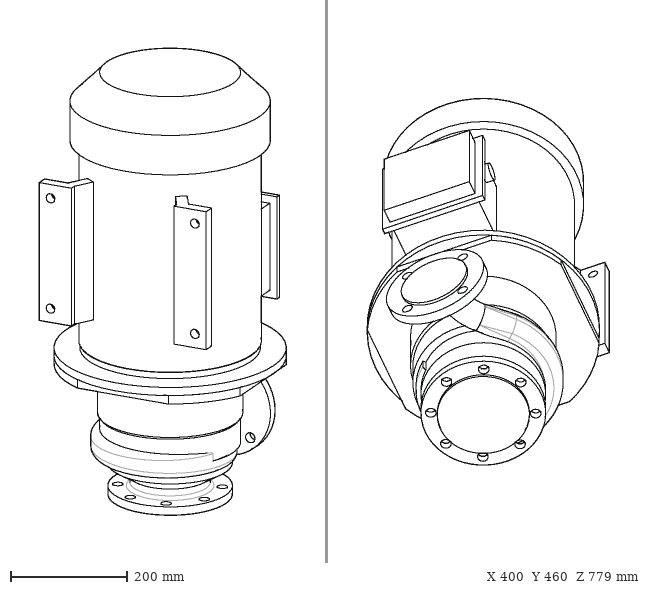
import cadquery as cq
import math

suction_flange_bottom = 5.5
suction_flange_top = 21.0
suction_neck_top = 40.0
cone_top = 63.0
volute_axis_z = 101.0
casing_top = 150.0
lantern_bottom = 155.0
lantern_flange_bottom = 244.0
joint_z = 259.5
motor_flange_top = 274.0
stator_bottom = 286.0
fan_cover_bottom = 654.0
fan_cover_shoulder = 727.0
overall_height = 779.0

motor_flange_radius = 200.0
spigot_radius = 156.0
stator_radius = 157.0
fan_cover_radius = 173.0
fan_cover_top_radius = 121.5

foot_bottom_z = 356.0
foot_height = 253.0
foot_inner_x = 99.0
foot_outer_x = 161.0
foot_face_y = -181.0
foot_thickness = 21.0
web_angle = math.radians(30)
web_thickness = 20.0
web_inner_start_y = -170.0
web_length = 54.5
foot_hole_diameter = 16.0
foot_hole_x = 139.5
foot_hole_pitch = 202.5

box_width = 158.0
box_height = 160.0
box_center_z = 399.0
box_inner_y = 117.0
box_outer_y = 260.0
rim_overhang = 14.0
rim_inner_y = 223.5
rim_thickness = 10.0
gland_radius = 15.5
gland_length = 14.0
gland_y = 192.5
gland_z = 438.0

lantern_flange_flat = 180.0
lantern_radius = 125.5
coupling_neck_radius = 102.0
casing_radius = 121.5
lower_casing_radius = 107.5
suction_neck_radius = 69.0
suction_flare_radius = 6.0
suction_flange_radius = 107.5
suction_face_radius = 79.5
suction_bolt_count = 8
suction_bolt_circle_radius = 90.0
bolt_hole_diameter = 18.0

volute_size = 48.0
volute_radius_at_x = 118.5
volute_growth_per_degree = 11.0 / 90
volute_start_angle = -45
volute_end_angle = 225
volute_step_angle = 15
volute_corner_at_x = 9.7
volute_corner_at_end = 19.0

discharge_pipe_radius = volute_size / 2
discharge_pipe_x = -17.0
discharge_bend_radius = 93.5
discharge_flange_inner_y = 204.0
discharge_flange_outer_y = 222.0
discharge_face_y = 227.5
discharge_flange_radius = 90.0
discharge_face_radius = 61.0
discharge_flare_radius = 8.0
discharge_bolt_count = 4
discharge_bolt_circle_radius = 72.5


def disc(radius, bottom, top):
    """Vertical cylinder on the pump axis."""
    return cq.Workplane("XY", origin=(0, 0, bottom)).circle(radius).extrude(top - bottom)




def motor_shell():
    """Turned body: flange, spigot, stator and fan cover with a conical top."""
    profile = [
        (0, joint_z),
        (motor_flange_radius, joint_z),
        (motor_flange_radius, motor_flange_top),
        (spigot_radius, motor_flange_top),
        (spigot_radius, stator_bottom),
        (stator_radius, stator_bottom),
        (stator_radius, fan_cover_bottom),
        (fan_cover_radius, fan_cover_bottom),
        (fan_cover_radius, fan_cover_shoulder),
        (fan_cover_top_radius, overall_height),
        (0, overall_height),
    ]
    return cq.Workplane("XZ").polyline(profile).close().revolve(360, (0, 0), (0, 1))


def right_foot():
    """Foot plate on the +X side, with a slanted web that runs into the stator."""
    back_y = foot_face_y + foot_thickness
    inward = (-math.sin(web_angle), math.cos(web_angle))
    across = (math.cos(web_angle), math.sin(web_angle))

    inner_start = (foot_inner_x, web_inner_start_y)
    inner_end = (
        inner_start[0] + web_length * inward[0],
        inner_start[1] + web_length * inward[1],
    )
    outer_end = (
        inner_end[0] + web_thickness * across[0],
        inner_end[1] + web_thickness * across[1],
    )
    outer_start = (
        outer_end[0] + (outer_end[1] - back_y) * math.tan(web_angle),
        back_y,
    )
    outline = [
        (foot_inner_x, foot_face_y),
        (foot_outer_x, foot_face_y),
        (foot_outer_x, back_y),
        outer_start,
        outer_end,
        inner_end,
        inner_start,
    ]
    foot = (
        cq.Workplane("XY", origin=(0, 0, foot_bottom_z))
        .polyline(outline)
        .close()
        .extrude(foot_height)
    )
    holes = (
        cq.Workplane("XZ", origin=(foot_hole_x, back_y, foot_bottom_z + foot_height / 2))
        .rarray(8, foot_hole_pitch, 1, 2)
        .circle(foot_hole_diameter / 2)
        .extrude(foot_thickness)
    )
    return foot.cut(holes)


def terminal_box():
    """Box on the +Y side with a rim around its lid and a cable gland on its -X side."""
    box = (
        cq.Workplane("XZ", origin=(0, box_outer_y, box_center_z))
        .rect(box_width, box_height)
        .extrude(box_outer_y - box_inner_y)
    )
    rim = (
        cq.Workplane("XZ", origin=(0, rim_inner_y + rim_thickness, box_center_z))
        .rect(box_width + 2 * rim_overhang, box_height + 2 * rim_overhang)
        .extrude(rim_thickness)
    )
    gland = (
        cq.Workplane("YZ", origin=(-box_width / 2, gland_y, gland_z))
        .circle(gland_radius)
        .extrude(-gland_length)
    )
    return box.union(rim).union(gland)


def make_motor():
    foot = right_foot()
    return motor_shell().union(foot).union(foot.mirror("YZ")).union(terminal_box())




def lantern():
    """Motor stool: a round flange with four flats, a cylinder and a narrower neck."""
    flange = disc(motor_flange_radius, lantern_flange_bottom, joint_z)
    flats = (
        cq.Workplane("XY", origin=(0, 0, lantern_flange_bottom))
        .rect(2 * lantern_flange_flat, 2 * lantern_flange_flat)
        .extrude(joint_z - lantern_flange_bottom)
    )
    barrel = disc(lantern_radius, lantern_bottom, lantern_flange_bottom)
    neck = disc(coupling_neck_radius, casing_top, lantern_bottom)
    return flange.intersect(flats).union(barrel).union(neck)


def casing():
    """Turned casing with a conical suction inlet, a flared neck and a suction flange."""
    flare_start = suction_flange_top + suction_flare_radius
    flare_offset = suction_flare_radius * (1 - math.sqrt(0.5))
    return (
        cq.Workplane("XZ")
        .moveTo(0, 0)
        .lineTo(suction_face_radius, 0)
        .lineTo(suction_face_radius, suction_flange_bottom)
        .lineTo(suction_flange_radius, suction_flange_bottom)
        .lineTo(suction_flange_radius, suction_flange_top)
        .lineTo(suction_neck_radius + suction_flare_radius, suction_flange_top)
        .threePointArc(
            (suction_neck_radius + flare_offset, suction_flange_top + flare_offset),
            (suction_neck_radius, flare_start),
        )
        .lineTo(suction_neck_radius, suction_neck_top)
        .lineTo(lower_casing_radius, cone_top)
        .lineTo(lower_casing_radius, volute_axis_z)
        .lineTo(casing_radius, volute_axis_z)
        .lineTo(casing_radius, casing_top)
        .lineTo(0, casing_top)
        .close()
        .revolve(360, (0, 0), (0, 1))
    )


def suction_bolt_holes():
    return (
        cq.Workplane("XY", origin=(0, 0, suction_flange_bottom))
        .polarArray(suction_bolt_circle_radius, 180 / suction_bolt_count, 360, suction_bolt_count)
        .circle(bolt_hole_diameter / 2)
        .extrude(suction_flange_top - suction_flange_bottom)
    )


def rounded_square(plane, corner_radius):
    """Wire of the volute's rounded square section, centred on the plane."""
    sketch = cq.Sketch().rect(volute_size, volute_size).vertices().fillet(corner_radius)
    return sketch.reset().faces().val().outerWire().moved(plane.location)


def volute_plane(angle):
    """Section plane of the volute at a clockwise angle in degrees from +X."""
    outer_radius = volute_radius_at_x + volute_growth_per_degree * angle
    center_radius = outer_radius - volute_size / 2
    cosine = math.cos(math.radians(angle))
    sine = math.sin(math.radians(angle))
    return cq.Plane(
        origin=(center_radius * cosine, -center_radius * sine, volute_axis_z),
        xDir=(cosine, -sine, 0),
        normal=(-sine, -cosine, 0),
    )


def volute():
    """Spiral channel whose outer radius and corner rounding grow clockwise."""
    corner_growth = (volute_corner_at_end - volute_corner_at_x) / volute_end_angle
    angles = range(volute_start_angle, volute_end_angle + 1, volute_step_angle)
    sections = [
        rounded_square(volute_plane(angle), volute_corner_at_x + corner_growth * angle)
        for angle in angles
    ]
    return cq.Workplane(cq.Solid.makeLoft(sections))


def discharge_pipe():
    """Straight branch tangent to the volute's end, then a bend into the +Y direction."""
    nearly_round = 0.99 * discharge_pipe_radius
    start_plane = volute_plane(volute_end_angle)
    start = start_plane.origin
    heading = start_plane.zDir
    bend_angle = math.atan2(heading.x, heading.y)
    tangent_length = discharge_bend_radius * math.tan(bend_angle / 2)
    straight_length = (discharge_pipe_x - start.x) / heading.x - tangent_length

    bend_start = start + heading * straight_length
    bend_plane = cq.Plane(origin=bend_start, xDir=start_plane.xDir, normal=heading)
    straight = cq.Workplane(
        cq.Solid.makeLoft(
            [
                rounded_square(start_plane, volute_corner_at_end),
                rounded_square(bend_plane, nearly_round),
            ]
        )
    )
    bend_end_y = bend_start.y + discharge_bend_radius * math.sin(bend_angle)
    bend_middle = (
        discharge_pipe_x - discharge_bend_radius * (1 - math.cos(bend_angle / 2)),
        bend_end_y - discharge_bend_radius * math.sin(bend_angle / 2),
    )
    path = (
        cq.Workplane("XY", origin=(0, 0, volute_axis_z))
        .moveTo(bend_start.x, bend_start.y)
        .threePointArc(bend_middle, (discharge_pipe_x, bend_end_y))
        .lineTo(discharge_pipe_x, discharge_flange_inner_y)
    )
    bend = cq.Workplane(bend_plane).circle(discharge_pipe_radius).sweep(path)
    return straight.union(bend)


def discharge_flare():
    """Widening of the discharge pipe where it meets the back of its flange."""
    flare_start_y = discharge_flange_inner_y - discharge_flare_radius
    flare_offset = discharge_flare_radius * (1 - math.sqrt(0.5))
    return (
        cq.Workplane("XY", origin=(discharge_pipe_x, 0, volute_axis_z))
        .moveTo(0, flare_start_y)
        .lineTo(discharge_pipe_radius, flare_start_y)
        .threePointArc(
            (discharge_pipe_radius + flare_offset, discharge_flange_inner_y - flare_offset),
            (discharge_pipe_radius + discharge_flare_radius, discharge_flange_inner_y),
        )
        .lineTo(0, discharge_flange_inner_y)
        .close()
        .revolve(360, (0, 0), (0, 1))
    )


def discharge_flange():
    """Flange facing +Y with a raised face and four bolt holes."""
    flange = (
        cq.Workplane("XZ", origin=(0, discharge_flange_outer_y, volute_axis_z))
        .circle(discharge_flange_radius)
        .extrude(discharge_flange_outer_y - discharge_flange_inner_y)
    )
    raised_face = (
        cq.Workplane("XZ", origin=(0, discharge_face_y, volute_axis_z))
        .circle(discharge_face_radius)
        .extrude(discharge_face_y - discharge_flange_outer_y)
    )
    holes = (
        cq.Workplane("XZ", origin=(0, discharge_flange_outer_y, volute_axis_z))
        .polarArray(discharge_bolt_circle_radius, 180 / discharge_bolt_count, 360, discharge_bolt_count)
        .circle(bolt_hole_diameter / 2)
        .extrude(discharge_flange_outer_y - discharge_flange_inner_y)
    )
    return flange.cut(holes).union(raised_face)


def make_pump():
    return (
        casing()
        .cut(suction_bolt_holes())
        .union(lantern())
        .union(volute())
        .union(discharge_pipe())
        .union(discharge_flare())
        .union(discharge_flange())
    )


motor = make_motor()
pump = make_pump()
result = cq.Compound.makeCompound([motor.val(), pump.val()])